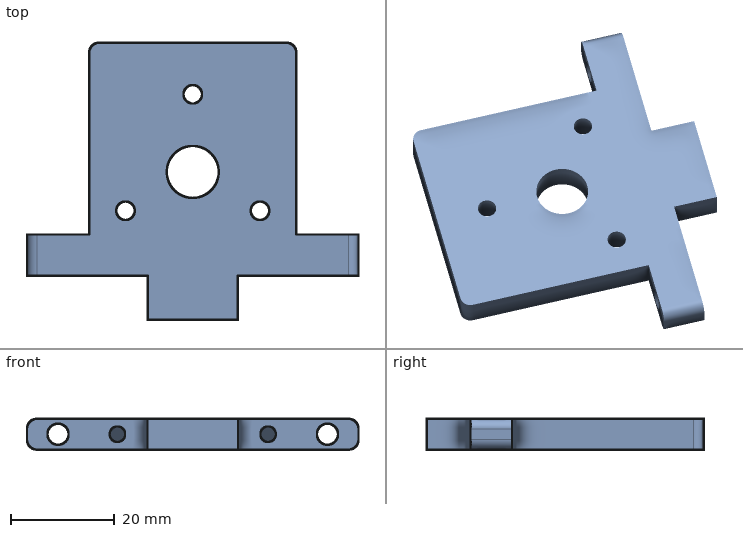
import cadquery as cq

thickness = 6.0
bar_width = 64.0
bar_depth = 8.0
plate_width = 40.0
plate_length = 37.0
tab_width = 17.4
tab_length = 8.5
corner_radius = 2.0

bore_diameter = 10.0
bore_y = 20.0
screw_diameter = 3.5
screw_circle_radius = 15.0
screw_count = 3
first_screw_angle = 90

mount_diameter = 4.0
mount_spacing = 52.0
pin_diameter = 3.0
pin_spacing = 29.05
pin_depth = 8.0


def block(width, length, y_start):
    """Full-thickness block centred on X, with its front face at y_start."""
    return (
        cq.Workplane("XY")
        .box(width, length, thickness, centered=(True, False, True))
        .translate((0, y_start, 0))
    )


def front_holes(diameter, spacing, depth):
    """Pair of cylinders running along +Y from the front face of the bar."""
    return (
        cq.Workplane("XZ")
        .pushPoints([(-spacing / 2, 0), (spacing / 2, 0)])
        .circle(diameter / 2)
        .extrude(-depth)
    )


bar = block(bar_width, bar_depth, 0).edges("|Y").fillet(corner_radius)

plate = block(plate_width, plate_length, bar_depth)
plate = plate.edges("|Z and >Y").fillet(corner_radius)

tab = block(tab_width, tab_length, -tab_length)

body = bar.union(plate).union(tab)

bore_plane = cq.Workplane("XY").workplane(offset=-thickness / 2).center(0, bore_y)
bore = bore_plane.circle(bore_diameter / 2).extrude(thickness)
screws = (
    bore_plane
    .polarArray(screw_circle_radius, first_screw_angle, 360, screw_count)
    .circle(screw_diameter / 2)
    .extrude(thickness)
)

mounts = front_holes(mount_diameter, mount_spacing, bar_depth)
pins = front_holes(pin_diameter, pin_spacing, pin_depth)

result = body.cut(bore).cut(screws).cut(mounts).cut(pins)